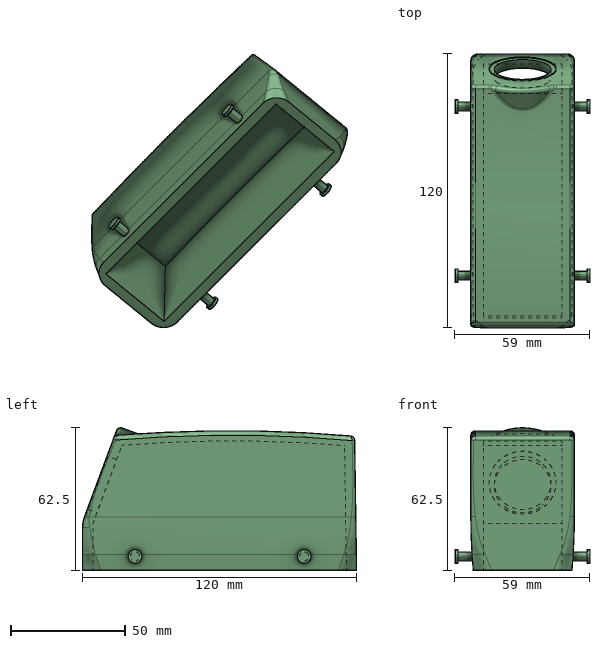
import cadquery as cq
import math

half_length = 60.0
half_width = 22.7
foot_half_width = 21.65
foot_height = 6.9
flank_height = 23.5
bend_tangent = 2.375
rear_slope = math.radians(20.4)
front_draft = math.radians(0.85)
roof_peak = 61.2
roof_peak_y = -5.0
roof_radius = 600.0
roof_edge_fillet = 2.0

corner_at_roof = 1.1
corner_at_flank = 2.0
corner_at_foot = 5.6
corner_at_base = 8.0

wall = 4.5

entry_y = 53.6
entry_diameter = 24.8
seat_diameter = 29.3
seat_depth = 0.4
shoulder_radius = 25.0
shoulder_rise = 26.25
shoulder_length = 20.0
shoulder_base = 55.0
shoulder_foot_fillet = 1.5

pin_y = 37.0
pin_z = 6.15
pin_diameter = 4.0
pin_head_diameter = 6.0
pin_head_thickness = 1.3
pin_tip_x = 29.5

margin = 1.0
meeting_passes = 20
near = 0.01

bend_height = flank_height - bend_tangent * math.cos(rear_slope)
bend_radius = bend_tangent / math.tan(rear_slope / 2)
roof_center_z = roof_peak - roof_radius
entry_z = bend_height + (half_length - entry_y) / math.tan(rear_slope)
entry_plane = cq.Plane(
    origin=(0, entry_y, entry_z),
    xDir=(-1, 0, 0),
    normal=(0, math.cos(rear_slope), math.sin(rear_slope)),
)


def roof_z(y, inset=0.0):
    """Height of the arched roof, lowered radially by the inset."""
    return roof_center_z + math.sqrt((roof_radius - inset) ** 2 - (y - roof_peak_y) ** 2)


def rear_wall_y(z):
    """Length-wise place of the sloping rear wall at a height."""
    return half_length - (z - bend_height) * math.tan(rear_slope)


def side_profile(inset):
    """Length-wise outline of the hood, drawn in the YZ plane, inset from its walls and roof."""
    front_base = -half_length + inset / math.cos(front_draft)
    front_y = front_base
    rear_y = half_length - inset
    rear_bend_z = bend_height - inset * math.tan(rear_slope / 2)
    rear_top_y = rear_y
    for _ in range(meeting_passes):
        front_y = front_base + roof_z(front_y, inset) * math.tan(front_draft)
        rear_top_y = rear_y - (roof_z(rear_top_y, inset) - rear_bend_z) * math.tan(rear_slope)
    return (
        cq.Workplane("YZ")
        .moveTo(front_base, 0)
        .lineTo(rear_y, 0)
        .lineTo(rear_y, rear_bend_z)
        .lineTo(rear_top_y, roof_z(rear_top_y, inset))
        .threePointArc((roof_peak_y, roof_peak - inset), (front_y, roof_z(front_y, inset)))
        .close()
    )


def cross_profile():
    """Width-wise outline in the XZ plane: straight taper, tangent arc, vertical wall."""
    arc_height = flank_height - foot_height
    taper = (half_width - foot_half_width) / (foot_height + arc_height / 2)
    angle = math.atan(taper)
    arc_radius = arc_height / math.sin(angle)
    foot_x = half_width - arc_radius * (1 - math.cos(angle))
    mid_x = half_width - arc_radius * (1 - math.cos(angle / 2))
    mid_z = flank_height - arc_radius * math.sin(angle / 2)
    base_x = foot_x - foot_height * math.tan(angle)
    top = roof_peak + margin
    return (
        cq.Workplane("XZ")
        .moveTo(-base_x, 0)
        .lineTo(base_x, 0)
        .lineTo(foot_x, foot_height)
        .threePointArc((mid_x, mid_z), (half_width, flank_height))
        .lineTo(half_width, top)
        .lineTo(-half_width, top)
        .lineTo(-half_width, flank_height)
        .threePointArc((-mid_x, mid_z), (-foot_x, foot_height))
        .close()
    )


def corner_radius(z):
    """Radius of the upright corners at a height, linear between the levels of the wall."""
    levels = [
        (0.0, corner_at_base),
        (foot_height, corner_at_foot),
        (flank_height, corner_at_flank),
        (roof_peak, corner_at_roof),
    ]
    for (z0, r0), (z1, r1) in zip(levels, levels[1:]):
        if z <= z1:
            return r0 + (r1 - r0) * (z - z0) / (z1 - z0)
    return corner_at_roof


def hood_block():
    """Solid hood with sharp corners and roof edges, and the bend in its rear wall."""
    block = side_profile(0).extrude(half_width + margin, both=True)
    bend = cq.selectors.BoxSelector(
        (-half_width, half_length - margin, bend_height - margin),
        (half_width, half_length + margin, bend_height + margin),
    )
    block = block.edges(bend).fillet(bend_radius)
    return block.intersect(cross_profile().extrude(half_length + margin, both=True))


def add_shoulder(body):
    """Add a cylinder square to the sloping wall, its crest rising through the roof."""
    cylinder = (
        cq.Workplane(entry_plane)
        .center(0, shoulder_rise - shoulder_radius)
        .circle(shoulder_radius)
        .extrude(-shoulder_length)
    )
    upper_space = cq.Workplane(origin=(0, 0, shoulder_base)).box(
        2 * half_width, 2 * half_length, roof_peak, centered=(True, True, False)
    )
    body = body.union(cylinder.intersect(upper_space))
    crease = cq.selectors.BoxSelector(
        (-margin, rear_wall_y(roof_peak) - shoulder_length, shoulder_base),
        (margin, rear_wall_y(roof_peak), roof_peak),
    )
    return body.edges(crease).fillet(shoulder_foot_fillet)


def is_upright_corner(edge):
    """True for the edges where the end walls meet the side walls."""
    box = edge.BoundingBox()
    center = edge.Center()
    return box.zlen > box.xlen and abs(center.x) > foot_half_width and abs(center.y) > half_length / 2


def is_roof_outline(edge):
    """True for the edges where the roof or shoulder meets the side and end walls."""
    center = edge.Center()
    on_side = abs(center.x) > foot_half_width
    on_front = center.y < -half_length + 2 * margin
    on_slope = abs(entry_plane.toLocalCoords(center).z) < near
    return edge.BoundingBox().zmin > shoulder_base and (on_side or on_front or on_slope)


def round_edges(body):
    """Round the roof outline evenly and the upright corners with a radius growing downwards."""
    maker = cq.occ_impl.shapes.BRepFilletAPI_MakeFillet(body.val().wrapped)
    edges = body.edges().vals()
    for edge in filter(is_upright_corner, edges):
        maker.Add(edge.wrapped)
    for contour in range(1, maker.NbContours() + 1):
        for index in range(1, maker.NbEdges(contour) + 1):
            edge = cq.Edge(maker.Edge(contour, index))
            heights = [edge.startPoint().z, edge.endPoint().z]
            if edge.wrapped.Orientation().name == "TopAbs_REVERSED":
                heights.reverse()
            maker.SetRadius(corner_radius(heights[0]), corner_radius(heights[1]), contour, index)
    for edge in filter(is_roof_outline, edges):
        maker.Add(roof_edge_fillet, edge.wrapped)
    return cq.Workplane(cq.Shape.cast(maker.Shape()))


def inner_space():
    """Hollow that opens at the base, following the outer form at the wall thickness."""
    return side_profile(wall).extrude(foot_half_width - wall, both=True)


def cut_entry(body):
    """Shallow seat and through bore for the cable, square to the sloping wall."""
    seat = cq.Workplane(entry_plane).circle(seat_diameter / 2).extrude(-seat_depth)
    bore = cq.Workplane(entry_plane).circle(entry_diameter / 2).extrude(-2 * wall)
    return body.cut(seat).cut(bore)


def locking_pin(side, y):
    """Headed pin that starts inside the side wall; side is +1 or -1 along X."""
    root_x = foot_half_width - wall / 2
    shaft = (
        cq.Workplane("YZ", origin=(side * root_x, y, pin_z))
        .circle(pin_diameter / 2)
        .extrude(side * (pin_tip_x - root_x))
    )
    head = (
        cq.Workplane("YZ", origin=(side * pin_tip_x, y, pin_z))
        .circle(pin_head_diameter / 2)
        .extrude(-side * pin_head_thickness)
    )
    return shaft.union(head)


body = round_edges(add_shoulder(hood_block()))
body = cut_entry(body.cut(inner_space()))
for side in (-1, 1):
    for y in (-pin_y, pin_y):
        body = body.union(locking_pin(side, y))

result = body